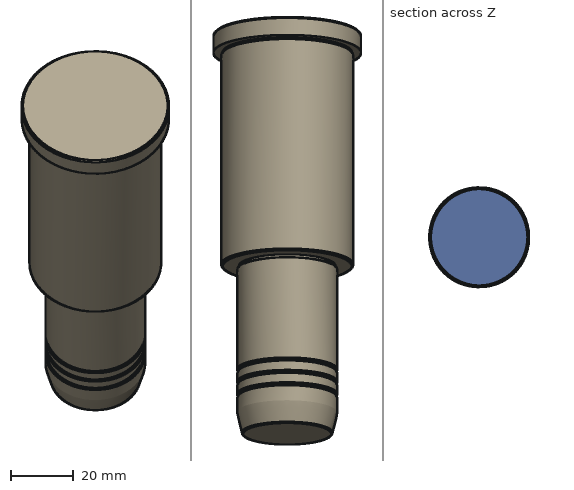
import cadquery as cq

total_height = 131.0
head_height = 6.0
body_bottom = 55.0
nose_height = 7.0
head_bottom = total_height - head_height

head_radius = 47.0 / 2
body_radius = 42.0 / 2
shank_radius = 31.8 / 2
nose_end_radius = 14.4

head_chamfer = 0.5
body_chamfer = 0.5
nose_chamfer = 0.4

nose_bow = 0.1

head_relief_width = 0.4
body_relief_width = 1.0
head_relief_depth = 0.4
body_relief_depth = 0.5

ring_count = 3
ring_pitch = 4.0
ring_width = 1.0
ring_depth = 0.4
lowest_ring_bottom = 11.9


def cylinder(radius, bottom, top):
    """Solid cylinder on the Z axis between two heights."""
    return cq.Workplane("XY").workplane(offset=bottom).circle(radius).extrude(top - bottom)


def groove(outer_radius, depth, bottom, width):
    """Ring-shaped cutter for a square groove."""
    top = bottom + width
    outer = cylinder(outer_radius + depth, bottom, top)
    return outer.cut(cylinder(outer_radius - depth, bottom, top))


def v_groove(outer_radius, depth, bottom, width):
    """Ring-shaped cutter with a symmetric V profile whose flanks run on past the surface."""
    apex_height = bottom + width / 2
    return (
        cq.Workplane("XZ")
        .moveTo(outer_radius - depth, apex_height)
        .lineTo(outer_radius + depth, apex_height + width)
        .lineTo(outer_radius + depth, apex_height - width)
        .close()
        .revolve(360, (0, 0, 0), (0, 1, 0))
    )


def make_nose():
    """Slightly bowed taper with a chamfered end."""
    flank_bottom = nose_chamfer
    flank_middle = (
        (nose_end_radius + shank_radius) / 2 + nose_bow,
        (flank_bottom + nose_height) / 2,
    )
    return (
        cq.Workplane("XZ")
        .lineTo(nose_end_radius - nose_chamfer, 0)
        .lineTo(nose_end_radius, flank_bottom)
        .threePointArc(flank_middle, (shank_radius, nose_height))
        .lineTo(0, nose_height)
        .close()
        .revolve(360, (0, 0, 0), (0, 1, 0))
    )


head = cylinder(head_radius, head_bottom, total_height).faces(">Z").edges().chamfer(head_chamfer)
body_top = head_bottom - head_relief_width
body = cylinder(body_radius, body_bottom, body_top)
body = body.faces("<Z").edges().chamfer(body_chamfer)
body = body.faces(">Z").edges().chamfer(head_relief_depth)
head_relief = cylinder(body_radius - head_relief_depth, body_top, head_bottom)
shank = cylinder(shank_radius, nose_height, body_bottom)
result = make_nose().union(shank).union(body).union(head_relief).union(head)

result = result.cut(
    groove(shank_radius, body_relief_depth, body_bottom - body_relief_width, body_relief_width)
)

for ring in range(ring_count):
    ring_bottom = lowest_ring_bottom + ring * ring_pitch
    result = result.cut(v_groove(shank_radius, ring_depth, ring_bottom, ring_width))